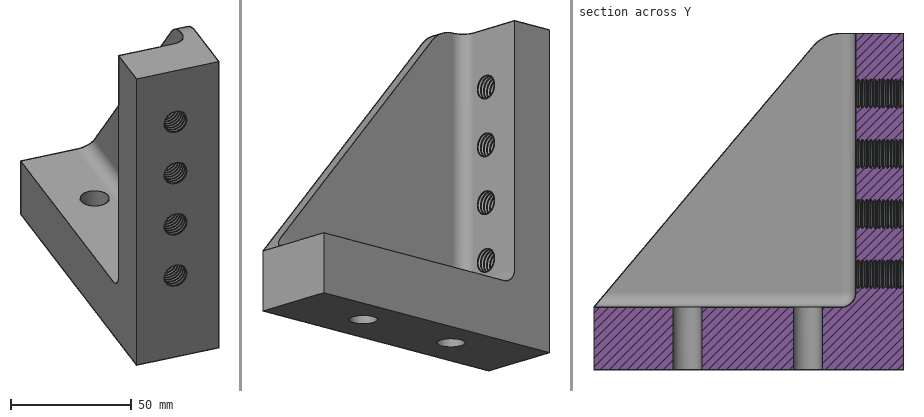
import cadquery as cq
import math

length = 129.0
width = 37.0
height = 140.0

foot_thickness = 26.0
wall_thickness = 20.0
web_thickness = 6.0
fillet_radius = 6.0

web_top_radius = 15.4

hole_y = 17.5
foot_hole_diameter = 12.0
foot_hole_first_x = 39.0
foot_hole_spacing = 50.0
foot_hole_count = 2
wall_hole_spacing = 25.0
wall_hole_count = 4

thread_minor_diameter = 10.1
thread_major_diameter = 12.0
thread_crest = 0.43
thread_root = 0.22
thread_flank = 0.55
thread_pitch = thread_crest + thread_root + 2 * thread_flank

wall_x = length - wall_thickness
web_y = width - web_thickness


def make_block():
    """Full-width block with the rounded, sloping outline of the web."""
    arc_end_x = wall_x - fillet_radius
    arc_center_z = height - web_top_radius
    rise = arc_center_z - foot_thickness
    slope_angle = math.atan2(rise, arc_end_x) + math.asin(web_top_radius / math.hypot(arc_end_x, rise))
    arc_start = (
        arc_end_x - web_top_radius * math.sin(slope_angle),
        arc_center_z + web_top_radius * math.cos(slope_angle),
    )
    half_angle = slope_angle / 2
    arc_middle = (
        arc_end_x - web_top_radius * math.sin(half_angle),
        arc_center_z + web_top_radius * math.cos(half_angle),
    )
    outline = (
        cq.Workplane("XZ")
        .moveTo(0, 0)
        .lineTo(length, 0)
        .lineTo(length, height)
        .lineTo(arc_end_x, height)
        .threePointArc(arc_middle, arc_start)
        .lineTo(0, foot_thickness)
        .close()
    )
    return outline.extrude(-width)


def make_recess():
    """Space in front of the web, with the three edges of its inner corner rounded."""
    overshoot = 2 * fillet_radius
    space = cq.Workplane("XY").box(
        wall_x + overshoot,
        web_y + overshoot,
        height - foot_thickness + overshoot,
        centered=False,
    )
    space = space.translate((-overshoot, -overshoot, foot_thickness))
    inner_corner = space.edges(">X and >Y").add(space.edges(">X and <Z")).add(space.edges(">Y and <Z"))
    return inner_corner.fillet(fillet_radius)


def make_foot_holes():
    """Upright through holes in the foot."""
    centers = [(foot_hole_first_x + i * foot_hole_spacing, hole_y) for i in range(foot_hole_count)]
    return cq.Workplane("XY").pushPoints(centers).circle(foot_hole_diameter / 2).extrude(foot_thickness)


def make_threaded_hole():
    """Threaded through hole along X, centred on the X axis and starting at the inner face of the wall."""
    minor_radius = thread_minor_diameter / 2
    major_radius = thread_major_diameter / 2
    ring_count = math.floor(wall_thickness / thread_pitch)

    profile = cq.Workplane("XY").moveTo(0, 0).lineTo(0, minor_radius)
    for i in range(ring_count):
        groove_start = i * thread_pitch + thread_crest
        root_start = groove_start + thread_flank
        root_end = root_start + thread_root
        profile = (
            profile.lineTo(groove_start, minor_radius)
            .lineTo(root_start, major_radius)
            .lineTo(root_end, major_radius)
            .lineTo(root_end + thread_flank, minor_radius)
        )
    profile = profile.lineTo(wall_thickness, minor_radius).lineTo(wall_thickness, 0).close()
    return profile.revolve(360, (0, 0, 0), (1, 0, 0)).translate((wall_x, 0, 0))


def make_wall_holes():
    """Evenly spaced threaded holes in the wall, counted down from its top."""
    hole = make_threaded_hole()
    holes = cq.Workplane("XY")
    for i in range(wall_hole_count):
        holes = holes.add(hole.translate((0, hole_y, height - (i + 1) * wall_hole_spacing)))
    return holes.combine()


result = make_block().cut(make_recess()).cut(make_foot_holes()).cut(make_wall_holes())